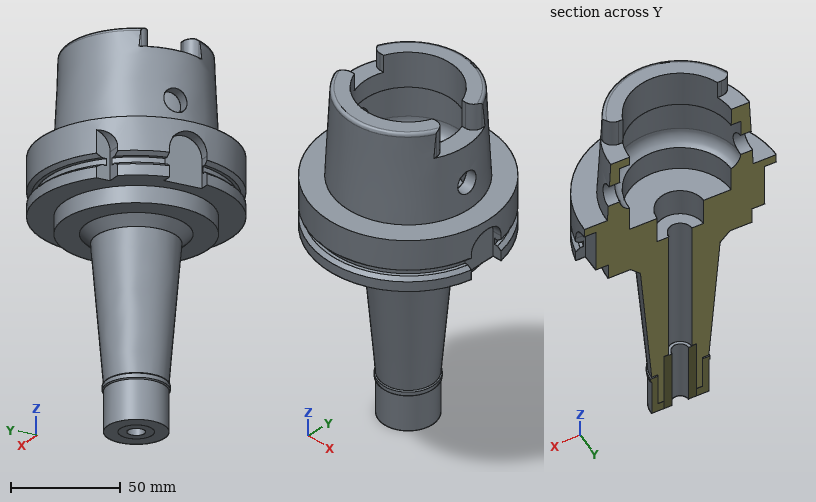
import cadquery as cq
import math


total_height = 185.0
shank_length = 50.0
flange_width = 29.0
collar_width = 8.5
shoulder_width = 4.8
flange_top = total_height - shank_length
flange_bottom = flange_top - flange_width
collar_bottom = flange_bottom - collar_width
neck_top = collar_bottom - shoulder_width

shank_base_radius = 38.1
shank_taper = 0.05
shank_top_radius = shank_base_radius - shank_taper * shank_length
shank_rim_fillet = 1.8
well_radius = 26.5
mouth_depth = 20.0
chamber_radius = 31.5
chamber_depth = 48.3
chamber_fillet = 8.0
well_depth = 61.0

slot_width = 19.2
slot_corner_radius = 5.4
lug_half_width = 32.2
opened_width = 55.5
left_slot_depth = 9.6
right_slot_depth = 14.8

cross_hole_diameter = 12.0
cross_hole_height = 15.0

flange_radius = 100.0 / 2
groove_radius = 46.0
groove_floor_offset = 18.5
groove_floor_width = 3.3
groove_chamfer_height = 1.7
groove_chamfer_depth = 2.2

keyway_width = 19.6
keyway_top_offset = 5.0
keyway_floor = 44.0
side_keyway_y = 41.0
side_keyway_floor = 32.0

collar_radius = 37.5
shoulder_radius = 25.9
neck_top_radius = 20.9
neck_end_radius = 15.0

nut_radius = 15.0
nut_rim_radius = 15.5
nut_rim_width = 2.0
nut_rim_chamfer = nut_rim_radius - nut_radius
nut_top = 22.5
nut_gap = 0.5
nut_floor = 4.6
neck_end = nut_top + nut_gap

nose_radius = 11.8
collet_radius = 8.3
collet_length = 33.3
collet_bore_radius = 4.3
bore_radius = 6.0
tube_bore_radius = 12.0
tube_bore_depth = 14.8


def cylinder(radius, bottom, top):
    """Vertical cylinder on the main axis."""
    return cq.Workplane("XY").workplane(offset=bottom).circle(radius).extrude(top - bottom)


def revolved(points):
    """Solid of revolution about Z from (radius, height) points."""
    return cq.Workplane("XZ").polyline(points).close().revolve(360, (0, 0), (0, 1))


def holder_blank():
    """Outer shape of the holder, before anything is cut."""
    groove_floor_top = flange_top - groove_floor_offset
    groove_floor_bottom = groove_floor_top - groove_floor_width
    groove_lip_radius = flange_radius - groove_chamfer_depth
    outline = [
        (0, nut_floor),
        (nose_radius, nut_floor),
        (nose_radius, neck_end),
        (neck_end_radius, neck_end),
        (neck_top_radius, neck_top),
        (shoulder_radius, collar_bottom),
        (collar_radius, collar_bottom),
        (collar_radius, flange_bottom),
        (flange_radius, flange_bottom),
        (flange_radius, groove_floor_bottom - groove_chamfer_height),
        (groove_lip_radius, groove_floor_bottom),
        (groove_radius, groove_floor_bottom),
        (groove_radius, groove_floor_top),
        (groove_lip_radius, groove_floor_top),
        (flange_radius, groove_floor_top + groove_chamfer_height),
        (flange_radius, flange_top),
        (shank_base_radius, flange_top),
        (shank_top_radius, total_height),
        (0, total_height),
    ]
    return revolved(outline).faces(">Z").edges().fillet(shank_rim_fillet)


def holder_cavity():
    """Stepped axial cavity: a deep well widened by a round-bottomed chamber, then the bores below it."""
    chamber_floor = total_height - chamber_depth
    well_floor = total_height - well_depth
    well = cylinder(well_radius, well_floor, total_height)
    chamber = cylinder(chamber_radius, chamber_floor, total_height - mouth_depth)
    chamber = chamber.faces("<Z").edges().fillet(chamber_fillet)
    tube_bore = cylinder(tube_bore_radius, well_floor - tube_bore_depth, well_floor)
    through_bore = cylinder(bore_radius, nut_floor, well_floor)
    collet_seat = cylinder(collet_radius, nut_floor, collet_length)
    return well.union(chamber).union(tube_bore).union(through_bore).union(collet_seat)


def drive_slot(side, depth):
    """Cutter for one drive slot; side is -1 or +1 along X."""
    half_width = slot_width / 2
    rounding_end = half_width + slot_corner_radius
    rounding_start = lug_half_width - slot_corner_radius
    arc_offset = slot_corner_radius * (1 - math.sqrt(0.5))
    arc_x = lug_half_width - arc_offset
    arc_y = half_width + arc_offset
    outer_x = flange_radius
    outer_y = opened_width / 2
    return (
        cq.Workplane("XY").workplane(offset=total_height - depth)
        .moveTo(0, -half_width)
        .lineTo(side * rounding_start, -half_width)
        .threePointArc((side * arc_x, -arc_y), (side * lug_half_width, -rounding_end))
        .lineTo(side * lug_half_width, -outer_y)
        .lineTo(side * outer_x, -outer_y)
        .lineTo(side * outer_x, outer_y)
        .lineTo(side * lug_half_width, outer_y)
        .lineTo(side * lug_half_width, rounding_end)
        .threePointArc((side * arc_x, arc_y), (side * rounding_start, half_width))
        .lineTo(0, half_width)
        .close()
        .extrude(depth)
    )


def cross_hole():
    """Cutter for the hole through both walls of the shank along X."""
    return (
        cq.Workplane("YZ")
        .center(0, flange_top + cross_hole_height)
        .circle(cross_hole_diameter / 2)
        .extrude(flange_radius, both=True)
    )


def keyway(side, floor_distance, center_y):
    """Cutter for a round-topped keyway, open at the flange bottom, with a flat floor facing X."""
    half_width = keyway_width / 2
    crown = flange_top - keyway_top_offset
    arc_start = crown - half_width
    return (
        cq.Workplane("YZ").workplane(offset=side * floor_distance)
        .moveTo(center_y - half_width, flange_bottom)
        .lineTo(center_y - half_width, arc_start)
        .threePointArc((center_y, crown), (center_y + half_width, arc_start))
        .lineTo(center_y + half_width, flange_bottom)
        .close()
        .extrude(side * flange_radius)
    )


def make_holder():
    """Holder with its shank, flange, neck and nose."""
    body = holder_blank().cut(holder_cavity()).cut(cross_hole())
    for side, depth in ((-1, left_slot_depth), (1, right_slot_depth)):
        body = body.cut(drive_slot(side, depth)).cut(keyway(side, keyway_floor, 0))
    return body.cut(keyway(-1, side_keyway_floor, side_keyway_y))


def make_nut():
    """Cup-shaped nut around the holder nose, with the collet passing through its floor."""
    rim_bottom = nut_top - nut_rim_width
    outline = [
        (collet_radius, 0),
        (nut_radius, 0),
        (nut_radius, rim_bottom - nut_rim_chamfer),
        (nut_rim_radius, rim_bottom),
        (nut_rim_radius, nut_top),
        (nose_radius, nut_top),
        (nose_radius, nut_floor),
        (collet_radius, nut_floor),
    ]
    return revolved(outline)


def make_collet():
    """Sleeve seated in the holder nose, flush with the nut face."""
    return cylinder(collet_radius, 0, collet_length).cut(cylinder(collet_bore_radius, 0, collet_length))


holder = make_holder()
nut = make_nut()
collet = make_collet()

result = cq.Compound.makeCompound([holder.val(), nut.val(), collet.val()])